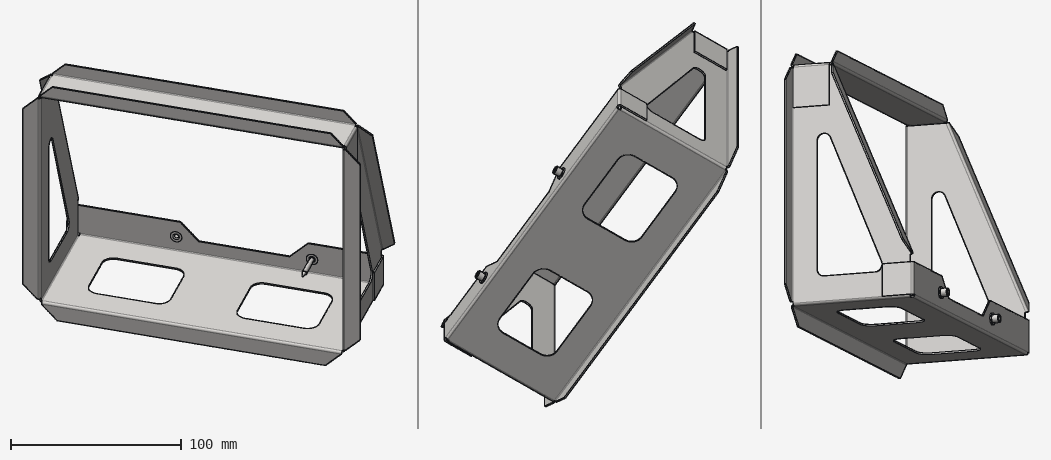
import cadquery as cq
import math

sheet = 1.0
inner_bend = 0.5
outer_bend = inner_bend + sheet

total_width = 207.0
total_depth = 82.5
total_height = 162.5

side_inner_x = 92.5
side_outer_x = side_inner_x + sheet
bottom_under_z = 10.4
bottom_top_z = bottom_under_z + sheet
back_wall_y = 77.6
back_wall_inner_y = back_wall_y - sheet
back_wall_top_z = 31.3
side_back_y = 75.1
bottom_flange_corner = 9.7

front_overhang = total_width / 2 - side_inner_x
front_flange_base_z = 12.8
front_flange_corner = 9.0
slope_overhang = 9.5
slope_corner = 7.7
slope_lean = math.atan(0.43)
slope_foot_y = 77.2
slope_foot_z = 36.6
flange_root = 3.1

tab_outer_x = side_outer_x + sheet
back_tab_front_y = 58.0
bar_tab_front_y = 2.0
bar_tab_back_y = 24.5
bar_tab_bottom_z = 128.8

bar_under_z = 153.4
bar_depth = 26.5
bar_flange_corner = 7.7
side_top_z = bar_under_z - inner_bend

bottom_window_x = 45.5
bottom_window_width = 50.0
bottom_window_depth = 40.0
bottom_window_back_y = 58.2
bottom_window_radius = 7.0
side_window_front_y = 16.5
side_window_bottom_z = 27.0
side_window_rear_y = 59.6
side_window_lean = math.atan(0.42)
side_window_radius = 4.3
notch_bottom_z = 19.9
notch_bottom_width = 55.7

left_nut_x = -33.0
right_nut_x = 50.5
hardware_mid_x = (left_nut_x + right_nut_x) / 2
hardware_z = 20.7
collar_diameter = 7.0
collar_height = 0.8
barrel_diameter = 5.0
barrel_chamfer = 0.5
bore_diameter = 2.5
countersink_diameter = 4.0
countersink_angle = 90
shank_diameter = 3.0
shank_end_y = 61.3
screw_tip_y = 57.5
tip_end_diameter = 0.6


def rounded_outline(plane, corners):
    """Closed outline through (x, y, radius) corners; a radius of 0 keeps the corner sharp."""
    stretches = []
    for i, (x, y, radius) in enumerate(corners):
        corner = cq.Vector(x, y)
        if radius == 0:
            stretches.append((corner,))
            continue
        before = (cq.Vector(*corners[i - 1][:2]) - corner).normalized()
        after = (cq.Vector(*corners[(i + 1) % len(corners)][:2]) - corner).normalized()
        half_angle = before.getAngle(after) / 2
        setback = radius / math.tan(half_angle)
        centre_reach = radius / math.sin(half_angle)
        arc_middle = corner + (before + after).normalized() * (centre_reach - radius)
        stretches.append((corner + before * setback, arc_middle, corner + after * setback))
    outline = cq.Workplane(plane).moveTo(*stretches[0][-1].toTuple()[:2])
    for stretch in stretches[1:] + stretches[:1]:
        start = stretch[0].toTuple()[:2]
        outline = outline.lineTo(*start)
        if len(stretch) > 1:
            outline = outline.threePointArc(stretch[1].toTuple()[:2], stretch[2].toTuple()[:2])
    return outline.close()


def channel(plane, half_width, leg_end, web_skin, leg_direction):
    """Symmetric U of sheet: a web whose outer skin lies at web_skin and two legs ending at leg_end."""
    inner_half = half_width - sheet
    web_inside = web_skin + leg_direction * sheet
    return rounded_outline(plane, [
        (-half_width, leg_end, 0),
        (-half_width, web_skin, outer_bend),
        (half_width, web_skin, outer_bend),
        (half_width, leg_end, 0),
        (inner_half, leg_end, 0),
        (inner_half, web_inside, inner_bend),
        (-inner_half, web_inside, inner_bend),
        (-inner_half, leg_end, 0),
    ])


def with_mirror(left):
    return left.union(left.mirror("YZ"))


def side_flange(overhang, length, corner, foot):
    """Outward flange of the left side, bent along the normal of the foot plane, with clipped tips."""
    tip_x = -side_inner_x - overhang
    strip = rounded_outline("XY", [
        (tip_x, 0, 0),
        (-side_inner_x, 0, outer_bend),
        (-side_inner_x, -flange_root, 0),
        (-side_outer_x, -flange_root, 0),
        (-side_outer_x, -sheet, inner_bend),
        (tip_x, -sheet, 0),
    ]).extrude(length)
    strip = strip.faces("<X").edges("|Y").chamfer(corner)
    return cq.Workplane(strip.val().moved(foot.location))


def slope_y(z):
    """Position of the sloped flange's back skin at height z."""
    return slope_foot_y - (z - slope_foot_z) * math.tan(slope_lean)


def make_sides():
    """Bottom with both side plates, cut to the sloped outline, with their outward flanges."""
    plane = cq.Plane((0, outer_bend, 0), xDir=(1, 0, 0), normal=(0, -1, 0))
    sides = channel(plane, side_outer_x, side_top_z, bottom_under_z, 1).extrude(outer_bend - side_back_y)

    bend_width = outer_bend / math.cos(slope_lean)
    slope_start_z = slope_foot_z + (slope_foot_y - bend_width - side_back_y) / math.tan(slope_lean)
    outline = cq.Workplane("YZ").polyline([
        (0, 0),
        (side_back_y, 0),
        (side_back_y, slope_start_z),
        (slope_y(side_top_z) - bend_width, side_top_z),
        (0, side_top_z),
    ]).close().extrude(total_width / 2, both=True)
    sides = sides.intersect(outline)

    front_foot = cq.Plane((0, 0, side_top_z), xDir=(1, 0, 0), normal=(0, 0, -1))
    front_length = side_top_z - front_flange_base_z
    front = side_flange(front_overhang, front_length, front_flange_corner, front_foot)

    rise = (0, -math.sin(slope_lean), math.cos(slope_lean))
    slope_foot = cq.Plane((0, slope_foot_y, slope_foot_z), xDir=(1, 0, 0), normal=rise)
    slope_length = (bar_under_z - slope_foot_z) / math.cos(slope_lean)
    slope = side_flange(slope_overhang, slope_length, slope_corner, slope_foot)

    return sides.union(with_mirror(front)).union(with_mirror(slope))


def make_bottom_strip():
    """Front flange, bottom and back wall in one folded section."""
    strip = rounded_outline("YZ", [
        (0, 0, 0),
        (0, bottom_top_z, outer_bend),
        (back_wall_inner_y, bottom_top_z, inner_bend),
        (back_wall_inner_y, back_wall_top_z, 0),
        (back_wall_y, back_wall_top_z, 0),
        (back_wall_y, bottom_under_z, outer_bend),
        (sheet, bottom_under_z, inner_bend),
        (sheet, 0, 0),
    ]).extrude(side_outer_x - outer_bend, both=True)
    return strip.faces("<Z").edges("|Y").chamfer(bottom_flange_corner)


def make_back_tabs():
    """Upper back wall with the tabs that fold forward over the outside of the sides."""
    base_z = bottom_under_z + outer_bend
    section = channel(cq.Plane((0, 0, base_z)), tab_outer_x, back_tab_front_y, back_wall_y, -1)
    return section.extrude(back_wall_top_z - base_z)


def bottom_windows():
    front_y = bottom_window_back_y - bottom_window_depth
    middle_y = (bottom_window_back_y + front_y) / 2
    windows = cq.Workplane("XY").pushPoints([(-bottom_window_x, middle_y), (bottom_window_x, middle_y)])
    windows = windows.rect(bottom_window_width, bottom_window_depth).extrude(bottom_top_z)
    return windows.edges("|Z").fillet(bottom_window_radius)


def side_windows():
    """Triangular opening through both sides, its rear edge leaning forward."""
    apex_z = side_window_bottom_z + (side_window_rear_y - side_window_front_y) / math.tan(side_window_lean)
    return rounded_outline("YZ", [
        (side_window_front_y, side_window_bottom_z, side_window_radius),
        (side_window_rear_y, side_window_bottom_z, side_window_radius),
        (side_window_front_y, apex_z, side_window_radius),
    ]).extrude(total_width / 2, both=True)


def back_wall_notch():
    """Notch in the back wall's top edge, with 45 degree ends."""
    rise = back_wall_top_z - notch_bottom_z
    bottom_half = notch_bottom_width / 2
    plane = cq.Plane((hardware_mid_x, total_depth, notch_bottom_z), xDir=(1, 0, 0), normal=(0, -1, 0))
    return cq.Workplane(plane).polyline([
        (-bottom_half, 0),
        (bottom_half, 0),
        (bottom_half + rise, rise),
        (-bottom_half - rise, rise),
    ]).close().extrude(total_depth - side_back_y)


def hardware_plane(x, y):
    """Plane across a nut's axis, its normal pointing backward."""
    return cq.Plane((x, y, hardware_z), xDir=(1, 0, 0), normal=(0, 1, 0))


def make_tray():
    tray = make_sides().union(make_bottom_strip()).union(make_back_tabs())
    tray = tray.cut(bottom_windows()).cut(side_windows()).cut(back_wall_notch())
    for x in (left_nut_x, right_nut_x):
        hole = cq.Workplane(hardware_plane(x, back_wall_inner_y)).circle(collar_diameter / 2)
        tray = tray.cut(hole.extrude(sheet))
    return tray


def make_top_bar():
    """Channel with upright flanges; its end tabs fold down over the outside of the sides."""
    middle_plane = cq.Plane((0, bar_depth / 2, 0), xDir=(0, 1, 0), normal=(1, 0, 0))
    section = channel(middle_plane, bar_depth / 2, total_height, bar_under_z, 1)
    bar = section.extrude(tab_outer_x - outer_bend, both=True)
    bar = bar.faces(">Z").edges("|Y").chamfer(bar_flange_corner)

    tab_plane = cq.Plane((0, bar_tab_front_y, 0), xDir=(1, 0, 0), normal=(0, -1, 0))
    tabs = channel(tab_plane, tab_outer_x, bar_tab_bottom_z, bar_under_z + sheet, -1)
    return bar.union(tabs.extrude(bar_tab_front_y - bar_tab_back_y))


def make_nut(x):
    """Nut set in the back wall, flush inside, with a barrel behind it."""
    plane = hardware_plane(x, back_wall_inner_y)
    nut = cq.Workplane(plane).circle(barrel_diameter / 2).extrude(total_depth - back_wall_inner_y)
    nut = nut.faces(">Y").edges().chamfer(barrel_chamfer)
    nut = nut.union(cq.Workplane(plane).circle(collar_diameter / 2).extrude(sheet + collar_height))
    inner_face = nut.faces("<Y").workplane(origin=plane.origin)
    return inner_face.cskHole(bore_diameter, countersink_diameter, countersink_angle)


def make_screw():
    """Pointed screw in the right nut; its thread fills the bore and its shank stops at the wall."""
    outline = [
        (0, screw_tip_y),
        (tip_end_diameter / 2, screw_tip_y),
        (bore_diameter / 2, shank_end_y),
        (shank_diameter / 2, shank_end_y),
        (shank_diameter / 2, back_wall_inner_y),
        (bore_diameter / 2, back_wall_inner_y),
        (bore_diameter / 2, total_depth),
        (0, total_depth),
    ]
    screw = cq.Workplane("XY").polyline(outline).close().revolve(360, (0, 0), (0, 1))
    return screw.translate((right_nut_x, 0, hardware_z))


tray = make_tray()
top_bar = make_top_bar()
nuts = [make_nut(x) for x in (left_nut_x, right_nut_x)]
screw = make_screw()

result = cq.Compound.makeCompound([
    tray.val(),
    top_bar.val(),
    *[nut.val() for nut in nuts],
    screw.val(),
])